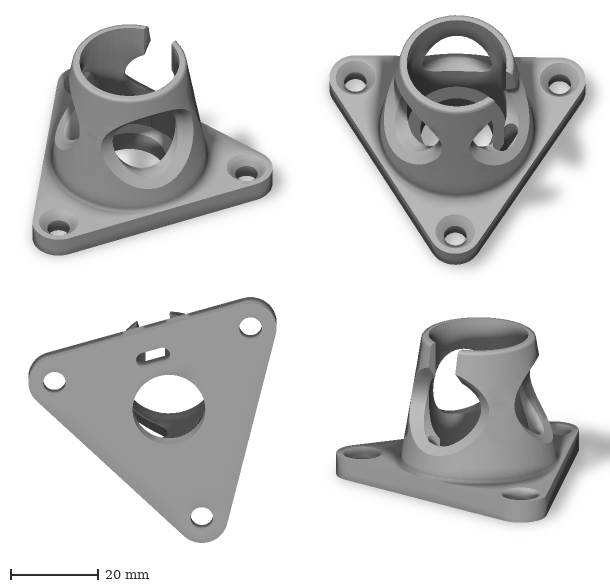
import cadquery as cq
import math

plate_width = 58.75
plate_thickness = 5.0
bolt_circle_radius = 27.05
corner_radius = plate_width / 2 - bolt_circle_radius * math.cos(math.radians(30))
corner_angles = (-90, 30, 150)

screw_hole_diameter = 5.2
countersink_diameter = 9.05
countersink_angle = 90
centre_hole_diameter = 16.7

total_height = 35.0
hub_base_radius = 18.0
hub_top_radius = 13.05
bore_radius = 11.45
base_blend_radius = 1.0
top_rounding = 0.9

window_diameter = 16.0
window_height = 20.0
window_bevel_radius = 2.0
bevel_overshoot = 0.15
bevel_steps = 48
window_angles = (-150, -30, 90)
pillar_angle = 30

slot_width = 7.95
slot_inner_y = 11.2
slot_outer_y = 14.75


def polar(radius, angle):
    """XY point at a radius and an angle in degrees."""
    return radius * math.cos(math.radians(angle)), radius * math.sin(math.radians(angle))


corner_points = [polar(bolt_circle_radius, angle) for angle in corner_angles]


def make_plate():
    return (
        cq.Workplane("XY")
        .polyline(corner_points)
        .close()
        .offset2D(corner_radius)
        .extrude(plate_thickness)
    )


def bevel_line(turn):
    """Inner and outer end of the bevel of a window facing +X, at a turn around the window axis.

    A ball rolls inside the hub wall, touching the window cylinder and the cone.
    The bevel joins its two touching points.
    """
    window_radius = window_diameter / 2
    centre_y = (window_radius + window_bevel_radius) * math.cos(turn)
    centre_rise = (window_radius + window_bevel_radius) * math.sin(turn)

    hub_slope = (hub_base_radius - hub_top_radius) / (total_height - plate_thickness)
    hub_tilt = math.atan(hub_slope)
    hub_radius = hub_base_radius - hub_slope * (window_height + centre_rise - plate_thickness)
    centre_radius = hub_radius - window_bevel_radius / math.cos(hub_tilt)
    centre_x = math.sqrt(centre_radius**2 - centre_y**2)

    inner = cq.Vector(
        centre_x,
        window_radius * math.cos(turn),
        window_height + window_radius * math.sin(turn),
    )
    touch_scale = 1 + window_bevel_radius * math.cos(hub_tilt) / centre_radius
    outer = cq.Vector(
        centre_x * touch_scale,
        centre_y * touch_scale,
        window_height + centre_rise + window_bevel_radius * math.sin(hub_tilt),
    )
    return inner, outer + (outer - inner) * bevel_overshoot


def make_window(angle):
    """Cutter for one window: a cylinder from the hub axis that widens along its bevel."""
    lines = [bevel_line(2 * math.pi * step / bevel_steps) for step in range(bevel_steps)]
    inner_points = [inner for inner, outer in lines]
    outer_points = [outer for inner, outer in lines]
    loops = [
        [cq.Vector(0, point.y, point.z) for point in inner_points],
        inner_points,
        outer_points,
        [cq.Vector(plate_width / 2, point.y, point.z) for point in outer_points],
    ]
    edges = [cq.Edge.makeSpline(points, periodic=True) for points in loops]
    faces = [cq.Face.makeRuledSurface(start, end) for start, end in zip(edges, edges[1:])]
    for end_edge in (edges[0], edges[-1]):
        faces.append(cq.Face.makeFromWires(cq.Wire.assembleEdges([end_edge])))
    cutter = cq.Solid.makeSolid(cq.Shell.makeShell(faces))
    return cq.Workplane(cutter.fix()).rotate((0, 0, 0), (0, 0, 1), angle)


def make_hub():
    """Tapered hub, still without its bore and windows."""
    hub = (
        cq.Workplane("XZ")
        .moveTo(0, plate_thickness)
        .lineTo(hub_base_radius, plate_thickness)
        .lineTo(hub_top_radius, total_height)
        .lineTo(0, total_height)
        .close()
        .revolve(360, (0, 0, 0), (0, 1, 0))
        .rotate((0, 0, 0), (0, 0, 1), pillar_angle)
    )
    return hub.faces(">Z").edges().fillet(top_rounding)


def make_slot():
    """Round-ended slot through the full height, opened squarely into the bore above the window."""
    slot_depth = slot_outer_y - slot_inner_y
    slot_centre_y = (slot_outer_y + slot_inner_y) / 2
    through_slot = (
        cq.Workplane("XY")
        .center(0, slot_centre_y)
        .slot2D(slot_width, slot_depth)
        .extrude(total_height)
    )
    opening = (
        cq.Workplane("XY", origin=(0, 0, window_height))
        .center(0, slot_centre_y / 2)
        .rect(slot_width, slot_centre_y)
        .extrude(total_height)
    )
    return through_slot.union(opening)


body = make_plate().union(make_hub())
body = body.edges(cq.selectors.RadiusNthSelector(-1)).fillet(base_blend_radius)

bore = cq.Workplane("XY", origin=(0, 0, plate_thickness)).circle(bore_radius).extrude(total_height)
body = body.cut(bore)
for window_angle in window_angles:
    body = body.cut(make_window(window_angle))
body = body.cut(make_slot())
centre_hole = cq.Workplane("XY").circle(centre_hole_diameter / 2).extrude(plate_thickness)
body = body.cut(centre_hole)

result = (
    body.copyWorkplane(cq.Workplane("XY", origin=(0, 0, plate_thickness)))
    .pushPoints(corner_points)
    .cskHole(screw_hole_diameter, countersink_diameter, countersink_angle)
)